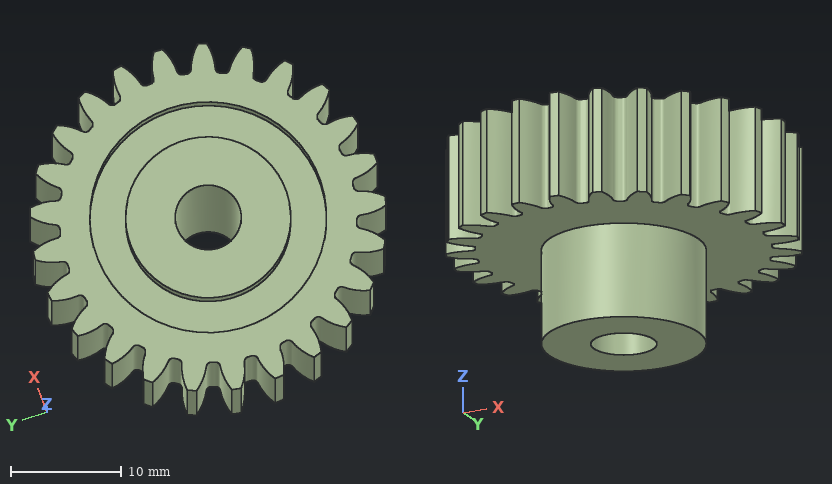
import cadquery as cq
import math

MODULE = 1.2
TOOTH_COUNT = 25
PRESSURE_ANGLE = math.radians(20)
DEDENDUM_FACTOR = 1.25
ROOT_FILLET_FACTOR = 0.38
ROOT_HALF_WIDTH = 1.12
FIRST_TOOTH_ANGLE = -math.pi / 2

PITCH_RADIUS = MODULE * TOOTH_COUNT / 2
TIP_RADIUS = PITCH_RADIUS + MODULE
ROOT_RADIUS = PITCH_RADIUS - DEDENDUM_FACTOR * MODULE
BASE_RADIUS = PITCH_RADIUS * math.cos(PRESSURE_ANGLE)
ROOT_FILLET = ROOT_FILLET_FACTOR * MODULE
TOOTH_PITCH_ANGLE = 2 * math.pi / TOOTH_COUNT

GEAR_WIDTH = 10.0
HUB_LENGTH = 9.0
HUB_DIAMETER = 15.0
BORE_DIAMETER = 6.0
RECESS_DIAMETER = 21.5
RECESS_DEPTH = 1.5

TOLERANCE = 1e-4


def polar(radius, angle):
    """Point in the XY plane at a radius and an angle."""
    return (radius * math.cos(angle), radius * math.sin(angle))


def involute(pressure_angle):
    """Involute function of a pressure angle in radians."""
    return math.tan(pressure_angle) - pressure_angle


def half_tooth_angle(radius):
    """Half of the angle a tooth spans at a radius on a true involute."""
    local_pressure_angle = math.acos(BASE_RADIUS / radius)
    half_angle_at_pitch = TOOTH_PITCH_ANGLE / 4
    return half_angle_at_pitch + involute(PRESSURE_ANGLE) - involute(local_pressure_angle)


def gear_outline():
    """Closed outline: one arc per flank, joined by tip arcs and root arcs."""
    root_angle = ROOT_HALF_WIDTH / ROOT_RADIUS
    pitch_angle = half_tooth_angle(PITCH_RADIUS)
    tip_angle = half_tooth_angle(TIP_RADIUS)
    outline = cq.Workplane("XY").moveTo(*polar(ROOT_RADIUS, FIRST_TOOTH_ANGLE - root_angle))
    for tooth in range(TOOTH_COUNT):
        centre = FIRST_TOOTH_ANGLE + tooth * TOOTH_PITCH_ANGLE
        gap_centre = centre + TOOTH_PITCH_ANGLE / 2
        next_centre = centre + TOOTH_PITCH_ANGLE
        outline = (
            outline.threePointArc(
                polar(PITCH_RADIUS, centre - pitch_angle),
                polar(TIP_RADIUS, centre - tip_angle),
            )
            .threePointArc(
                polar(TIP_RADIUS, centre),
                polar(TIP_RADIUS, centre + tip_angle),
            )
            .threePointArc(
                polar(PITCH_RADIUS, centre + pitch_angle),
                polar(ROOT_RADIUS, centre + root_angle),
            )
            .threePointArc(
                polar(ROOT_RADIUS, gap_centre),
                polar(ROOT_RADIUS, next_centre - root_angle),
            )
        )
    return outline.close()


def is_root_corner(edge):
    """True for an edge whose middle lies on the root circle."""
    middle = edge.Center()
    return abs(math.hypot(middle.x, middle.y) - ROOT_RADIUS) < TOLERANCE


def toothed_wheel():
    """Toothed disc with rounded tooth roots."""
    wheel = gear_outline().extrude(GEAR_WIDTH)
    root_corners = wheel.edges("|Z").filter(is_root_corner)
    return root_corners.fillet(ROOT_FILLET)


def ring_recess():
    """Annular pocket in the upper face, leaving a boss as wide as the hub."""
    return (
        cq.Workplane("XY")
        .workplane(offset=GEAR_WIDTH - RECESS_DEPTH)
        .circle(RECESS_DIAMETER / 2)
        .circle(HUB_DIAMETER / 2)
        .extrude(RECESS_DEPTH)
    )


def hub():
    """Cylindrical hub below the toothed wheel."""
    return cq.Workplane("XY").circle(HUB_DIAMETER / 2).extrude(-HUB_LENGTH)


def bore():
    """Shaft hole through hub and wheel."""
    return (
        cq.Workplane("XY")
        .workplane(offset=-HUB_LENGTH)
        .circle(BORE_DIAMETER / 2)
        .extrude(HUB_LENGTH + GEAR_WIDTH)
    )


result = toothed_wheel().cut(ring_recess()).union(hub()).cut(bore())